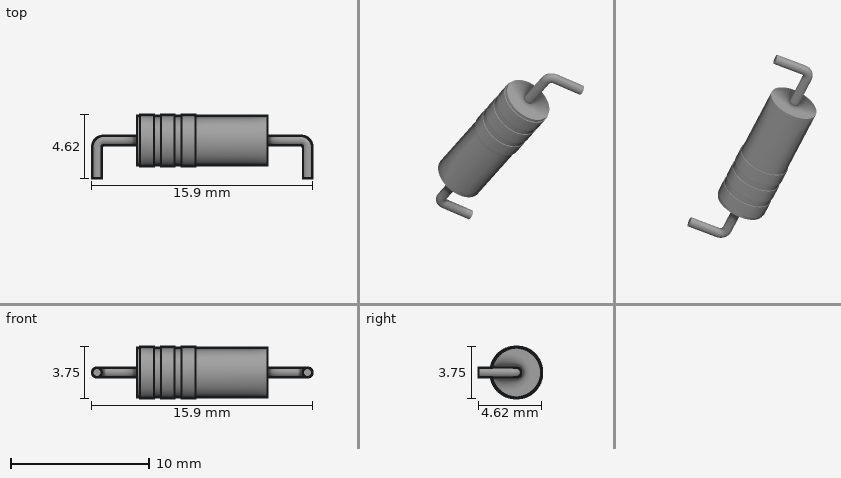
import cadquery as cq

OVERALL_LENGTH = 15.94
OVERALL_DEPTH = 4.62
LEAD_DIAMETER = 0.7
BEND_RADIUS = 0.5

BODY_DIAMETER = 3.6
BODY_LENGTH = 9.47

BAND_DIAMETER = 3.75
BAND_COUNT = 3
BAND_WIDTH = 1.0
BAND_PITCH = 1.5
FIRST_BAND_OFFSET = 0.24

LEAD_HALF_SPAN = (OVERALL_LENGTH - LEAD_DIAMETER) / 2
LEAD_REACH = OVERALL_DEPTH - BAND_DIAMETER / 2
BODY_START = -BODY_LENGTH / 2


def make_tube(start, length, outer_diameter, inner_diameter):
    """Hollow cylinder along X, beginning at x = start."""
    return (
        cq.Workplane("YZ", origin=(start, 0, 0))
        .circle(outer_diameter / 2)
        .circle(inner_diameter / 2)
        .extrude(length)
    )


def make_lead():
    """One wire that runs through the body and bends toward -Y at both ends."""
    straight_half = LEAD_HALF_SPAN - BEND_RADIUS
    path = (
        cq.Workplane("XY")
        .moveTo(-LEAD_HALF_SPAN, -LEAD_REACH)
        .lineTo(-LEAD_HALF_SPAN, -BEND_RADIUS)
        .tangentArcPoint((-straight_half, 0), relative=False)
        .lineTo(straight_half, 0)
        .tangentArcPoint((LEAD_HALF_SPAN, -BEND_RADIUS), relative=False)
        .lineTo(LEAD_HALF_SPAN, -LEAD_REACH)
    )
    tip = cq.Workplane("XZ", origin=(-LEAD_HALF_SPAN, -LEAD_REACH, 0))
    return tip.circle(LEAD_DIAMETER / 2).sweep(path)


def make_band(index):
    """Colour band that fits around the body."""
    start = BODY_START + FIRST_BAND_OFFSET + index * BAND_PITCH
    return make_tube(start, BAND_WIDTH, BAND_DIAMETER, BODY_DIAMETER)


body = make_tube(BODY_START, BODY_LENGTH, BODY_DIAMETER, LEAD_DIAMETER)
lead = make_lead()
bands = [make_band(index) for index in range(BAND_COUNT)]

result = cq.Compound.makeCompound([body.val(), lead.val(), *[band.val() for band in bands]])